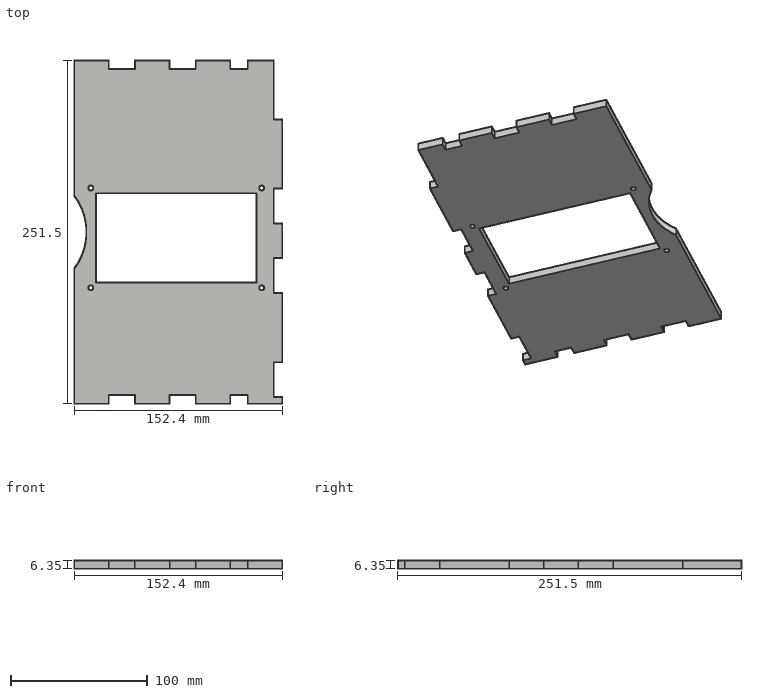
import cadquery as cq

WIDTH = 152.4
LENGTH = 251.46
THICKNESS = 6.35
INCH = 25.4

JOINT_DEPTH = THICKNESS
END_TAB_WIDTH = INCH
END_NOTCH_WIDTHS = (0.75 * INCH, 0.75 * INCH, 0.5 * INCH)
SIDE_STEP = INCH
SIDE_FIRST_TAB = 5.08
SIDE_NOTCH_STEPS = (0, 3, 5)
SIDE_END_NOTCH_STEP = 8

WINDOW_CENTER = (74.7, 121.5)
WINDOW_WIDTH = 117.2
WINDOW_LENGTH = 65.24
HOLE_DIAMETER = 3.5
HOLE_SPACING_X = 124.97
HOLE_SPACING_Y = 73.0

SCOOP_CHORD = 53.34
SCOOP_DEPTH = 8.89


def block(x_start, y_start, x_end, y_end):
    """Full-thickness block between two opposite corners."""
    size_x = x_end - x_start
    size_y = y_end - y_start
    solid = cq.Workplane("XY").box(size_x, size_y, THICKNESS, centered=False)
    return solid.translate((x_start, y_start, 0))


def cut_end_notches(plate):
    """Cut the same row of notches into the front and back ends."""
    x_start = 0
    for notch_width in END_NOTCH_WIDTHS:
        x_start += END_TAB_WIDTH
        x_end = x_start + notch_width
        plate = plate.cut(block(x_start, 0, x_end, JOINT_DEPTH))
        plate = plate.cut(block(x_start, LENGTH - JOINT_DEPTH, x_end, LENGTH))
        x_start = x_end
    return plate


def cut_side_notches(plate):
    """Cut the notches along the right edge."""
    for step in SIDE_NOTCH_STEPS:
        y_start = SIDE_FIRST_TAB + step * SIDE_STEP
        plate = plate.cut(block(WIDTH - JOINT_DEPTH, y_start, WIDTH, y_start + SIDE_STEP))
    end_notch_start = SIDE_FIRST_TAB + SIDE_END_NOTCH_STEP * SIDE_STEP
    return plate.cut(block(WIDTH - JOINT_DEPTH, end_notch_start, WIDTH, LENGTH))


def cut_window(plate):
    """Cut the rectangular window through the plate."""
    window = cq.Workplane("XY").center(*WINDOW_CENTER).rect(WINDOW_WIDTH, WINDOW_LENGTH)
    return plate.cut(window.extrude(THICKNESS))


def cut_screw_holes(plate):
    """Drill one hole beyond each corner of the window."""
    holes = (
        cq.Workplane("XY")
        .center(*WINDOW_CENTER)
        .rect(HOLE_SPACING_X, HOLE_SPACING_Y, forConstruction=True)
        .vertices()
        .circle(HOLE_DIAMETER / 2)
        .extrude(THICKNESS)
    )
    return plate.cut(holes)


def cut_scoop(plate):
    """Cut the circular scoop, whose radius follows from its chord and depth."""
    radius = ((SCOOP_CHORD / 2) ** 2 + SCOOP_DEPTH**2) / (2 * SCOOP_DEPTH)
    cutter = cq.Workplane("XY").center(SCOOP_DEPTH - radius, LENGTH / 2).circle(radius)
    return plate.cut(cutter.extrude(THICKNESS))


plate = block(0, 0, WIDTH, LENGTH)
plate = cut_end_notches(plate)
plate = cut_side_notches(plate)
plate = cut_window(plate)
plate = cut_screw_holes(plate)
result = cut_scoop(plate)